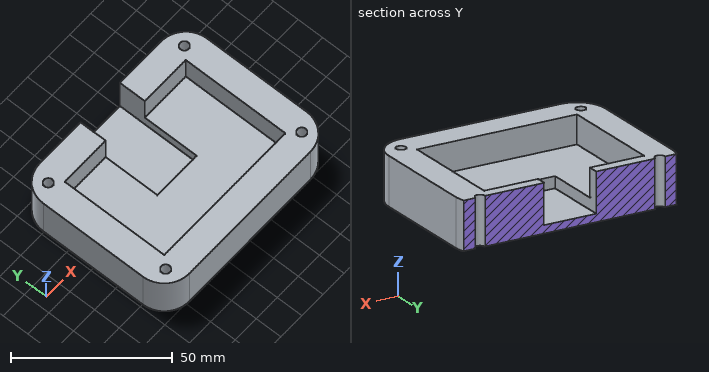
import cadquery as cq

length = 77.9
width = 60.85
height = 17.0
wall = 10.2

pocket_depth = 10.0
pocket_length = length - 2 * wall
pocket_width = width - 2 * wall

channel_width = 18.6
channel_length = 31.2
channel_depth = 14.0

hole_diameter = 3.4
hole_spacing_x = 64.65
hole_spacing_y = 47.7


def top_cutter(size_x, size_y, depth, center_y=0.0):
    """Box that cuts down from the top face, centred on X."""
    return (
        cq.Workplane("XY", origin=(0, center_y, height))
        .rect(size_x, size_y)
        .extrude(-depth)
    )


block = cq.Workplane("XY").box(length, width, height, centered=(True, True, False))
block = block.edges("|Z").fillet(wall)

pocket = top_cutter(pocket_length, pocket_width, pocket_depth)
channel = top_cutter(channel_width, channel_length, channel_depth, (width - channel_length) / 2)

corner_holes = (
    cq.Workplane("XY")
    .rect(hole_spacing_x, hole_spacing_y, forConstruction=True)
    .vertices()
    .circle(hole_diameter / 2)
    .extrude(height)
)

result = block.cut(pocket).cut(channel).cut(corner_holes)